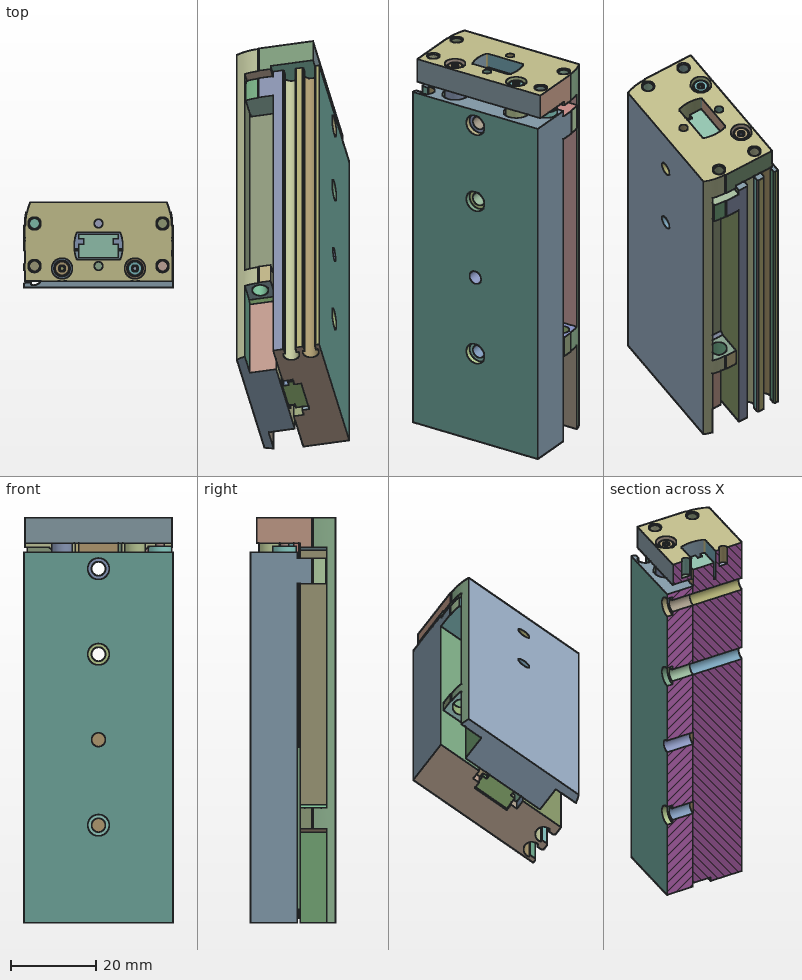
import cadquery as cq


total_height = 95.0
total_depth = 20.0

housing_width = 35.0
housing_depth = 11.0
housing_height = 86.9

table_width = 34.5
table_front = 11.7
side_round_width = 1.2
side_round_start = 14.7
side_round_inset = 0.14
side_round_bulge = 0.3
end_plate_front = 1.5
end_plate_bottom = 89.0
web_half_width = 10.8
plate_inner_y = 18.0

pocket_slope = 0.8
pocket_top = 88.1
table_lug_bottom = 22.0
table_lug_top = 27.0
lug_hole_x = 14.4
lug_hole_y = 14.7
lug_hole_diameter = 3.8

stop_bottom = 79.5
stop_top = 85.5
stop_gap = 0.3

bumper_x = 14.4
bumper_y = 8.1
bumper_diameter = 5.5
bumper_top = 88.35
bumper_stud_diameter = 2.0

rail_width = 9.3
rail_front = 6.9
rail_back = 12.5
rail_bottom = 1.0
rail_top = 91.7
rail_groove_depth = 1.1
rail_groove_front = 10.2
rail_groove_back = 11.4
boss_half_width = 6.0
boss_front = 9.0
boss_bottom = 3.1
boss_gap = 0.4

pad_inner_x = 6.65
pad_outer_x = 8.55
pad_back = 11.4
pad_bottom = 41.2

window_half_width = 5.1
window_bulge = 0.6
window_front = 6.6
window_back = 12.9
window_corner_radius = 0.4

groove_first_y = 2.5
groove_count = 2
groove_pitch = 4.7
groove_diameter = 3.8
groove_centre_x = -15.2
groove_lip = 1.7
groove_mouth = 2.7
groove_mouth_chamfer = 0.3

rod_x = 8.55
rod_y = 4.5
rod_diameter = 4.8
rod_bore_diameter = 6.0
rod_reach = 19.0
screw_recess_diameter = 4.8
screw_recess_depth = 2.85
screw_head_diameter = 3.8
screw_head_below = 0.5
screw_head_chamfer = 0.3
screw_socket_mouth = 1.6
screw_socket_mouth_depth = 0.3
screw_socket_size = 1.1
screw_socket_depth = 1.4

thread_x = 15.0
thread_diameter = 2.5
thread_mouth_diameter = 3.0
dowel_diameter = 2.0
plate_hole_front_y = 5.0
plate_hole_back_y = 15.0
plate_hole_depth = 4.75

mount_top_z = 83.0
mount_pitch = 20.0
mount_count = 4
plain_mount_index = 2
through_mount_count = 2
mount_diameter = 3.2
mount_recess_diameter = 5.0
mount_recess_depth = 1.4


def block(x_range, y_range, z_range):
    """Box between two limits along each axis."""
    (x0, x1), (y0, y1), (z0, z1) = x_range, y_range, z_range
    return cq.Workplane("XY").box(x1 - x0, y1 - y0, z1 - z0, centered=False).translate((x0, y0, z0))


def rod(x, y, diameter, z0, z1):
    """Round bar along Z."""
    return cq.Workplane("XY", origin=(x, y, z0)).circle(diameter / 2).extrude(z1 - z0)


def cross_bar(z, diameter, y0, y1):
    """Round bar along Y on the centre line."""
    return cq.Workplane("XZ", origin=(0, y0, z)).circle(diameter / 2).extrude(y0 - y1)


def rounded_profile(width, front, z0, z1):
    """Flat sides that round inward toward the back, as on the table and the stop blocks."""
    side = width / 2
    round_x = side - side_round_inset
    back_x = side - side_round_width
    middle = ((round_x + back_x) / 2 + side_round_bulge, (side_round_start + total_depth) / 2)
    bevel_y = side_round_start - 2 * side_round_inset
    return (
        cq.Workplane("XY", origin=(0, 0, z0))
        .moveTo(-side, front)
        .lineTo(side, front)
        .lineTo(side, bevel_y)
        .lineTo(round_x, side_round_start)
        .threePointArc(middle, (back_x, total_depth))
        .lineTo(-back_x, total_depth)
        .threePointArc((-middle[0], middle[1]), (-round_x, side_round_start))
        .lineTo(-side, bevel_y)
        .close()
        .extrude(z1 - z0)
    )


def side_pocket(side, z0, z1, bottom_slope, top_slope):
    """Pocket from one side of the table to its web; a sloped end is bevelled at the web."""
    outer_x = housing_width / 2
    bevel_x = web_half_width + pocket_slope
    points = [
        (side * outer_x, z0),
        (side * bevel_x, z0),
        (side * web_half_width, z0 + bottom_slope),
        (side * web_half_width, z1 - top_slope),
        (side * bevel_x, z1),
        (side * outer_x, z1),
    ]
    return (
        cq.Workplane("XZ", origin=(0, table_front, 0))
        .polyline(points)
        .close()
        .extrude(table_front - plate_inner_y)
    )


def window():
    """Opening through the end plate and the top of the web, with bowed sides."""
    corner, bowed = window_half_width, window_half_width + window_bulge
    middle_y = (window_front + window_back) / 2
    return (
        cq.Workplane("XY", origin=(0, 0, housing_height))
        .moveTo(-corner, window_front)
        .lineTo(corner, window_front)
        .threePointArc((bowed, middle_y), (corner, window_back))
        .lineTo(-corner, window_back)
        .threePointArc((-bowed, middle_y), (-corner, window_front))
        .close()
        .extrude(total_height - housing_height)
        .edges("|Z")
        .fillet(window_corner_radius)
    )


def guide_rail():
    """Rail with one groove in each side."""
    half = rail_width / 2
    rail = block((-half, half), (rail_front, rail_back), (rail_bottom, rail_top))
    for side in (-1, 1):
        x_range = sorted((side * half, side * (half - rail_groove_depth)))
        rail = rail.cut(block(x_range, (rail_groove_front, rail_groove_back), (rail_bottom, rail_top)))
    return rail


def screw_recess(x):
    """Ring around a sunk screw head, its space above, and its hexagon socket."""
    head_top = total_height - screw_head_below
    recess = rod(x, rod_y, screw_recess_diameter, total_height - screw_recess_depth, total_height)
    head = rod(x, rod_y, screw_head_diameter, total_height - screw_recess_depth, head_top)
    head = head.faces(">Z").chamfer(screw_head_chamfer)
    mouth = rod(x, rod_y, screw_socket_mouth, head_top - screw_socket_mouth_depth, head_top)
    socket = (
        cq.Workplane("XY", origin=(x, rod_y, head_top))
        .polygon(6, screw_socket_size)
        .extrude(-screw_socket_depth)
    )
    return recess.cut(head).union(mouth).union(socket)


def end_plate_holes():
    """Four threaded holes with chamfered mouths and two dowel holes."""
    mouth = (thread_mouth_diameter - thread_diameter) / 2
    hole_bottom = total_height - plate_hole_depth
    holes = cq.Workplane("XY")
    for y in (plate_hole_front_y, plate_hole_back_y):
        holes = holes.add(rod(0, y, dowel_diameter, hole_bottom, total_height))
        for x in (-thread_x, thread_x):
            holes = holes.add(rod(x, y, thread_diameter, hole_bottom, total_height))
            cone = (
                cq.Workplane("XY", origin=(x, y, total_height))
                .circle(thread_mouth_diameter / 2)
                .workplane(offset=-mouth)
                .circle(thread_diameter / 2)
                .loft()
            )
            holes = holes.add(cone)
    return holes.combine()


def mount_levels():
    """Heights of the mounting holes, from the top down."""
    return [mount_top_z - i * mount_pitch for i in range(mount_count)]


def make_table():
    """Moving table with its end plate, guide rail, piston rods and screws."""
    table = rounded_profile(table_width, table_front, 0, total_height)
    table = table.union(rounded_profile(table_width, end_plate_front, end_plate_bottom, total_height))

    for side in (-1, 1):
        table = table.cut(side_pocket(side, table_lug_top, pocket_top, pocket_slope, pocket_slope))
        table = table.cut(side_pocket(side, 0, table_lug_bottom, 0, pocket_slope))
        table = table.cut(
            rod(side * lug_hole_x, lug_hole_y, lug_hole_diameter, table_lug_bottom, table_lug_top)
        )

    boss = block(
        (-boss_half_width, boss_half_width), (boss_front, table_front), (boss_bottom, housing_height)
    )
    table = table.union(boss).cut(window()).union(guide_rail())

    for x in (-rod_x, rod_x):
        table = table.union(rod(x, rod_y, rod_diameter, housing_height - rod_reach, end_plate_bottom))
        table = table.cut(screw_recess(x))
    table = table.cut(end_plate_holes())

    for z in mount_levels()[:through_mount_count]:
        table = table.cut(cross_bar(z, mount_diameter, rail_front, total_depth))
    return table


def sensor_groove(y):
    """Round groove behind a narrower mouth with chamfered edges."""
    outer_x = -housing_width / 2
    lip_x = outer_x + groove_lip
    half = groove_mouth / 2
    round_part = rod(groove_centre_x, y, groove_diameter, 0, housing_height)
    behind_lip = block(
        (lip_x, groove_centre_x + groove_diameter), (y - groove_diameter, y + groove_diameter),
        (0, housing_height),
    )
    mouth = (
        cq.Workplane("XY")
        .polyline([
            (outer_x, y - half - groove_mouth_chamfer),
            (outer_x + groove_mouth_chamfer, y - half),
            (groove_centre_x, y - half),
            (groove_centre_x, y + half),
            (outer_x + groove_mouth_chamfer, y + half),
            (outer_x, y + half + groove_mouth_chamfer),
        ])
        .close()
        .extrude(housing_height)
    )
    return round_part.intersect(behind_lip).union(mouth)


def stop_block(side):
    """Stop that reaches into one side pocket of the table, rounded like the table."""
    outer_x, inner_x = side * housing_width / 2, side * (web_half_width + stop_gap)
    limits = block(
        sorted((outer_x, inner_x)), (housing_depth, plate_inner_y - stop_gap), (stop_bottom, stop_top)
    )
    return rounded_profile(housing_width, housing_depth, stop_bottom, stop_top).intersect(limits)


def make_housing():
    """Fixed housing with its guide channel, sensor grooves, bores, holes and stops."""
    half_width = housing_width / 2
    housing = block((-half_width, half_width), (0, housing_depth), (0, housing_height))

    for half, floor in (
        (boss_half_width + boss_gap, boss_front - boss_gap),
        (rail_width / 2, rail_front),
    ):
        housing = housing.cut(block((-half, half), (floor, housing_depth), (0, housing_height)))

    for i in range(groove_count):
        housing = housing.cut(sensor_groove(groove_first_y + i * groove_pitch))

    for x in (-rod_x, rod_x):
        housing = housing.cut(
            rod(x, rod_y, rod_bore_diameter, housing_height - rod_reach, housing_height)
        )

    for i, z in enumerate(mount_levels()):
        housing = housing.cut(cross_bar(z, mount_diameter, 0, rail_front))
        if i != plain_mount_index:
            housing = housing.cut(cross_bar(z, mount_recess_diameter, 0, mount_recess_depth))

    for side in (-1, 1):
        pad_sides = sorted((side * pad_inner_x, side * pad_outer_x))
        pad = block(pad_sides, (housing_depth, pad_back), (pad_bottom, housing_height))
        housing = housing.union(pad).union(stop_block(side))
    bumper = rod(bumper_x, bumper_y, bumper_diameter, housing_height, bumper_top)
    stud = rod(bumper_x, bumper_y, bumper_stud_diameter, bumper_top, end_plate_bottom)
    return housing.union(bumper).union(stud)


housing = make_housing()
table = make_table()

result = cq.Compound.makeCompound([housing.val(), table.val()])